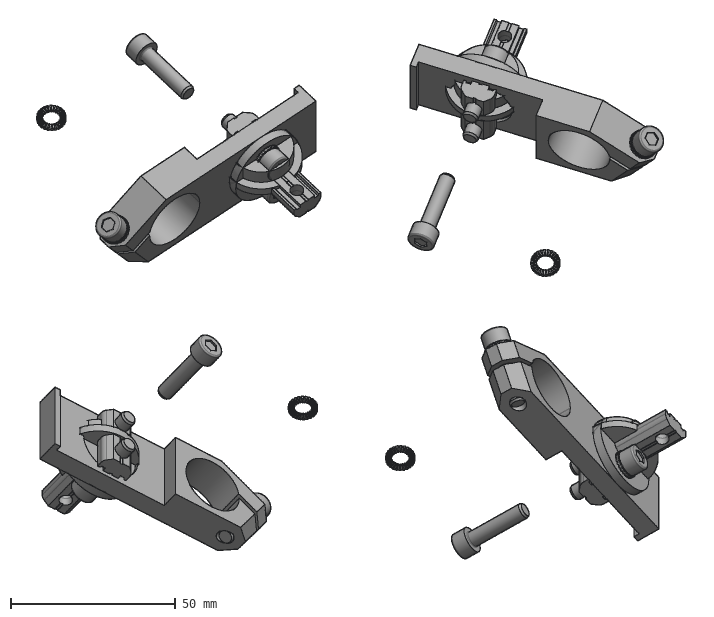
import cadquery as cq
import math


plate_height = 25.0
plate_thickness = 6.0
plate_end_y = 21.8
lip_width = 2.0
lip_depth = 8.0
clamp_thickness = 12.0
clamp_step_y = -20.45
plate_hole_diameter = 20.1

bore_y = -34.3
bore_diameter = 19.9
slope_angle = math.radians(30)
slope_height = 12.55
jaw_reach = 19.3
jaw_corner_cut = 4.0
gap_bottom = 5.05
gap_top = 6.5
gap_inner_end = 4.9
clamp_screw_reach = 14.0

shank_diameter = 5.0
shank_length = 20.0
clearance_diameter = 5.2
tip_diameter = 4.15
tip_length = 0.7
head_diameter = 8.5
head_height = 5.0
head_edge = 0.5
neck_fillet = 0.25
socket_width = 4.0
socket_depth = 0.6
washer_outer = 9.0
washer_inner = shank_diameter + 2 * neck_fillet
washer_thickness = 1.15
washer_grooves = 24
groove_width = 0.6
groove_depth = 0.25

disc_diameter = 25.0
disc_thickness = 2.85
boss_diameter = 19.9
boss_height = 5.05
bar_length = 22.0
bar_thickness = 5.9
bar_half_width = 5.3
bar_neck_half_width = 2.85
bar_shoulder_depth = 1.2
bar_hook_depth = 0.6
bar_hook_inner = 4.6
bar_hook_base = 4.15
bar_side_end = 2.5
bar_round_radius = 2.5
bar_groove_width = 0.9
bar_groove_depth = 0.3
bar_hole_offset = 5.95
bar_hole_diameter = 4.15
mounting_y = -0.4

loose_screw_end_x = -59.5
loose_washer_x = -53.8
loose_washer_y = -38.4

clamp_middle_x = -clamp_thickness / 2
half_height = plate_height / 2
mounting_heights = (-bar_hole_offset, bar_hole_offset)
mounting_head_x = disc_thickness + washer_thickness


def place(body, origin, x_dir, normal):
    """Move a body so that its own origin, X axis and Z axis take the given ones."""
    plane = cq.Plane(origin=origin, xDir=x_dir, normal=normal)
    return body.val().located(cq.Location(plane))


def make_cylinder(diameter, bottom, top):
    return cq.Workplane("XY").workplane(offset=bottom).circle(diameter / 2).extrude(top - bottom)


def make_socket_screw():
    """Screw along Z with the underside of its head at z = 0."""
    head = make_cylinder(head_diameter, 0, head_height).faces(">Z").edges().fillet(head_edge)
    tip_radius = tip_diameter / 2
    shank_radius = shank_diameter / 2
    shank = (
        cq.Workplane("XZ")
        .moveTo(0, -shank_length)
        .lineTo(tip_radius, -shank_length)
        .lineTo(shank_radius, -shank_length + tip_length)
        .lineTo(shank_radius, -neck_fillet)
        .radiusArc((shank_radius + neck_fillet, 0), neck_fillet)
        .lineTo(0, 0)
        .close()
        .revolve(360, (0, 0, 0), (0, 1, 0))
    )
    socket = (
        cq.Workplane("XY")
        .workplane(offset=head_height - socket_depth)
        .polygon(6, socket_width / math.cos(math.pi / 6))
        .extrude(socket_depth)
    )
    return head.union(shank).cut(socket)


def make_lock_washer():
    """Washer resting on z = 0 with radial grooves on both faces."""
    washer = make_cylinder(washer_outer, 0, washer_thickness)
    washer = washer.cut(make_cylinder(washer_inner, 0, washer_thickness))
    groove_length = washer_outer
    for face_z in (0, washer_thickness):
        for index in range(washer_grooves):
            groove = (
                cq.Workplane("XY")
                .box(groove_length, groove_width, 2 * groove_depth)
                .translate((groove_length / 2, 0, face_z))
                .rotate((0, 0, 0), (0, 0, 1), index * 360 / washer_grooves)
            )
            washer = washer.cut(groove)
    return washer


def make_bar():
    """Slot bar along Z, from z = 0, with its neck face on the XZ plane and its body towards -Y."""
    round_drop = bar_round_radius * math.sin(math.pi / 4)
    round_inset = bar_round_radius * (1 - math.cos(math.pi / 4))
    round_end_x = bar_half_width - round_inset
    round_end_y = -bar_side_end - round_drop
    flat_half_width = round_end_x - (bar_thickness + round_end_y)
    bar = (
        cq.Workplane("XY")
        .moveTo(0, 0)
        .lineTo(bar_neck_half_width, 0)
        .lineTo(bar_neck_half_width, -bar_shoulder_depth)
        .lineTo(bar_hook_base, -bar_shoulder_depth)
        .lineTo(bar_hook_inner, -bar_hook_depth)
        .lineTo(bar_half_width, -bar_hook_depth)
        .lineTo(bar_half_width, -bar_side_end)
        .radiusArc((round_end_x, round_end_y), bar_round_radius)
        .lineTo(flat_half_width, -bar_thickness)
        .lineTo(0, -bar_thickness)
        .mirrorY()
        .extrude(bar_length)
    )
    for face_y in (0, -bar_thickness):
        groove = (
            cq.Workplane("XY")
            .center(0, face_y)
            .rect(bar_groove_width, 2 * bar_groove_depth)
            .extrude(bar_length)
        )
        bar = bar.cut(groove)
    return bar


def make_swivel_disc():
    """Horizontal disc with the round boss that stands on it."""
    disc = make_cylinder(disc_diameter, 0, disc_thickness)
    boss = make_cylinder(boss_diameter, disc_thickness, disc_thickness + boss_height)
    return disc.union(boss)


def make_mounting_disc():
    """Disc on the outer face of the plate with the round boss that fits the plate hole."""
    disc = cq.Workplane("YZ").circle(disc_diameter / 2).extrude(disc_thickness)
    boss = cq.Workplane("YZ").center(mounting_y, 0).circle(boss_diameter / 2).extrude(-boss_height)
    return disc.union(boss)


clamp_along = (0, -math.cos(slope_angle), -math.sin(slope_angle))
clamp_normal = (0, -math.sin(slope_angle), math.cos(slope_angle))
clamp_plane = cq.Plane(origin=(clamp_middle_x, bore_y, 0), xDir=clamp_along, normal=clamp_normal)


def clamp_point(along, out):
    """Y and Z of a point given along the slope and square to it, from the bore centre."""
    y = bore_y + along * clamp_along[1] + out * clamp_normal[1]
    z = along * clamp_along[2] + out * clamp_normal[2]
    return y, z


def make_bracket():
    slope_start_y = bore_y - (slope_height - half_height * math.cos(slope_angle)) / math.sin(slope_angle)
    jaw_bottom_out = (jaw_reach * math.sin(slope_angle) - half_height) / math.cos(slope_angle)
    bracket = (
        cq.Workplane("YZ")
        .polyline([
            (plate_end_y, -half_height),
            (plate_end_y, half_height),
            (slope_start_y, half_height),
            clamp_point(jaw_reach, slope_height),
            clamp_point(jaw_reach, jaw_bottom_out),
        ])
        .close()
        .extrude(-clamp_thickness)
    )

    lip_y = plate_end_y - lip_width
    reliefs = (
        (clamp_step_y, lip_y, plate_thickness),
        (lip_y, plate_end_y, lip_depth),
    )
    for start_y, end_y, depth in reliefs:
        relief = cq.Workplane("XY").box(
            clamp_thickness - depth, end_y - start_y, plate_height, centered=False
        )
        bracket = bracket.cut(relief.translate((-clamp_thickness, start_y, -half_height)))

    bore = cq.Workplane("YZ").center(bore_y, 0).circle(bore_diameter / 2).extrude(-clamp_thickness)
    plate_hole = cq.Workplane("YZ").center(mounting_y, 0).circle(plate_hole_diameter / 2)
    bracket = bracket.cut(bore).cut(plate_hole.extrude(-plate_thickness))

    gap = (
        cq.Workplane(clamp_plane)
        .workplane(offset=gap_bottom)
        .center((gap_inner_end + jaw_reach) / 2, 0)
        .rect(jaw_reach - gap_inner_end, clamp_thickness)
        .extrude(gap_top - gap_bottom)
    )
    bracket = bracket.cut(gap)

    for side in (-1, 1):
        corner = (
            cq.Workplane(clamp_plane)
            .moveTo(jaw_reach, side * clamp_thickness / 2)
            .lineTo(jaw_reach - jaw_corner_cut, side * clamp_thickness / 2)
            .lineTo(jaw_reach, side * (clamp_thickness / 2 - jaw_corner_cut))
            .close()
            .extrude(plate_height, both=True)
        )
        bracket = bracket.cut(corner)

    screw_axis = cq.Workplane(clamp_plane).center(clamp_screw_reach, 0)
    lower_hole = screw_axis.circle(shank_diameter / 2).extrude(plate_height, both=True)
    upper_hole = screw_axis.workplane(offset=gap_bottom).circle(clearance_diameter / 2).extrude(plate_height)
    bracket = bracket.cut(lower_hole).cut(upper_hole)

    return bracket.cut(make_swivel_disc())


def make_adapter():
    """Mounting disc, swivel disc and the two crossed slot bars in one piece."""
    swivel_bar = place(make_bar(), (0, 0, bar_thickness / 2), (0, 1, 0), (1, 0, 0))
    mounting_bar = place(
        make_bar(), (-plate_thickness, mounting_y, -bar_length / 2), (0, -1, 0), (0, 0, 1)
    )
    adapter = make_swivel_disc().union(make_mounting_disc())
    adapter = adapter.union(cq.Workplane(swivel_bar)).union(cq.Workplane(mounting_bar))

    screw_room = (
        make_cylinder(shank_diameter, -shank_length, 0)
        .union(make_cylinder(head_diameter, 0, head_height))
        .union(make_cylinder(washer_outer, -washer_thickness, 0))
    )
    for z in mounting_heights:
        room = place(screw_room, (mounting_head_x, mounting_y, z), (0, 0, 1), (1, 0, 0))
        adapter = adapter.cut(cq.Workplane(room))

    bar_hole = (
        cq.Workplane("XY")
        .center(bar_length / 2 + bar_hole_offset, 0)
        .circle(bar_hole_diameter / 2)
        .extrude(bar_thickness, both=True)
    )
    return adapter.cut(bar_hole)


bracket = make_bracket()
adapter = make_adapter()

clamp_head = (clamp_middle_x, *clamp_point(clamp_screw_reach, slope_height + washer_thickness))
clamp_seat = (clamp_middle_x, *clamp_point(clamp_screw_reach, slope_height))

screw_places = [((mounting_head_x, mounting_y, z), (0, 0, 1), (1, 0, 0)) for z in mounting_heights]
screw_places.append((clamp_head, (1, 0, 0), clamp_normal))
screw_places.append(((loose_screw_end_x + head_height, 0, 0), (0, 0, 1), (-1, 0, 0)))
socket_screw = make_socket_screw()
screws = [place(socket_screw, *screw_place) for screw_place in screw_places]

washer_places = [((disc_thickness, mounting_y, z), (0, 0, 1), (1, 0, 0)) for z in mounting_heights]
washer_places.append((clamp_seat, (1, 0, 0), clamp_normal))
washer_places.append(((loose_washer_x, loose_washer_y, 0), (1, 0, 0), (0, 0, 1)))
lock_washer = make_lock_washer()
washers = [place(lock_washer, *washer_place) for washer_place in washer_places]

result = cq.Compound.makeCompound([bracket.val(), adapter.val(), *screws, *washers])